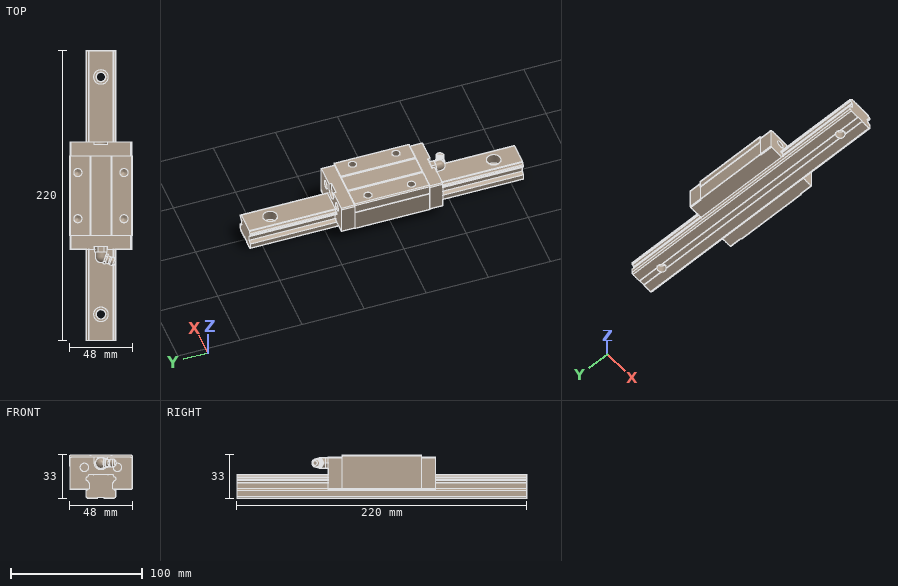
import cadquery as cq
import math

rail_length = 220.0
rail_half_width = 11.5
rail_height = 18.0
rail_top_half_width = 9.0
lip_top_z = 15.5
lip_height = 1.0
lip_bevel = 0.7
race_height = 1.5
race_sag = 0.33
race_root_half_width = 9.5
neck_half_width = 8.8
neck_bottom_z = 7.5
base_top_z = 6.0
rail_base_chamfer = 1.3
keyway_width = 4.8
keyway_depth = 0.7
rail_hole_spacing = 180.0
rail_hole_diameter = 7.0
rail_counterbore_diameter = 11.0
rail_counterbore_depth = 8.8

carriage_top_z = 33.0
carriage_bottom_z = 6.8
carriage_bottom_chamfer = 0.7
block_width = 48.0
block_length = 60.3
block_chamfer = 0.9
side_relief_depth = 0.5
side_relief_top_z = 24.5
groove_offset = 8.0
groove_width = 0.9
groove_depth = 0.5
mount_hole_spacing = 35.0
mount_hole_diameter = 6.2
mount_hole_depth = 10.0
drill_point_angle = 118.0
cap_width = 46.9
cap_length = 10.5
cap_top_z = 31.5
cap_chamfer = 0.9
cap_hole_offset = 12.5
cap_hole_z = 23.5
cap_hole_diameter = 6.4
cap_hole_depth = 4.5
recess_radius = 5.0
recess_depth = 2.0

nipple_z = 26.8
hexagon_sides = 6
elbow_hex_flats = 8.1
elbow_hex_length = 4.0
elbow_diameter = 8.1
elbow_length = 4.0
outlet_tilt = 20.0
outlet_hex_flats = 6.8
outlet_hex_start = 3.0
outlet_hex_end = 4.6
outlet_neck_radius = 2.9
outlet_neck_end = 6.8
groove_radius = 2.6
head_start = 8.0
head_radius = 3.0
head_taper_start = 10.3
head_tip_radius = 1.8
outlet_length = 11.7

lip_half_height = lip_height / 2
lip_center_z = lip_top_z - lip_half_height
carriage_length = block_length + 2 * cap_length
recess_floor_y = recess_depth - carriage_length / 2
elbow_cylinder_y = recess_floor_y - elbow_hex_length
elbow_center_y = elbow_cylinder_y - elbow_length


def rail_profile():
    """Closed cross-section in the XZ plane, with a concave ball race above and below the lip."""
    race_outer_x = rail_half_width - lip_bevel
    race_outer_offset = lip_half_height + lip_bevel
    race_root_offset = race_outer_offset + race_height
    neck_top_z = 2 * lip_center_z - rail_height
    race_run = race_outer_x - race_root_half_width
    chord = math.hypot(race_run, race_height)
    race_middle_x = (race_outer_x + race_root_half_width) / 2 - race_sag * race_height / chord
    race_middle_offset = (race_outer_offset + race_root_offset) / 2 - race_sag * race_run / chord
    return (
        cq.Workplane("XZ")
        .lineTo(rail_half_width - rail_base_chamfer, 0)
        .lineTo(rail_half_width, rail_base_chamfer)
        .lineTo(rail_half_width, base_top_z)
        .lineTo(neck_half_width, neck_bottom_z)
        .lineTo(neck_half_width, neck_top_z)
        .lineTo(race_root_half_width, lip_center_z - race_root_offset)
        .threePointArc(
            (race_middle_x, lip_center_z - race_middle_offset),
            (race_outer_x, lip_center_z - race_outer_offset),
        )
        .lineTo(rail_half_width, lip_top_z - lip_height)
        .lineTo(rail_half_width, lip_top_z)
        .lineTo(race_outer_x, lip_center_z + race_outer_offset)
        .threePointArc(
            (race_middle_x, lip_center_z + race_middle_offset),
            (race_root_half_width, lip_center_z + race_root_offset),
        )
        .lineTo(rail_top_half_width, rail_height)
        .lineTo(0, rail_height)
        .mirrorY()
    )


def rail_bar():
    return rail_profile().extrude(rail_length / 2, both=True)


def make_rail():
    keyway = cq.Workplane("XY").box(keyway_width, rail_length, 2 * keyway_depth)
    return (
        rail_bar()
        .cut(keyway)
        .faces(">Z")
        .workplane(origin=(0, 0, rail_height))
        .rarray(2.2, rail_hole_spacing, 1, 2)
        .cboreHole(rail_hole_diameter, rail_counterbore_diameter, rail_counterbore_depth)
    )


def box_between(width, length, bottom_z, top_z):
    """Box centred on X and Y that spans the two heights."""
    height = top_z - bottom_z
    return cq.Workplane("XY", origin=(0, 0, bottom_z)).box(
        width, length, height, centered=(True, True, False)
    )


def drilled_hole():
    """Blind hole tool with a conical drill point, entering from the carriage top."""
    radius = mount_hole_diameter / 2
    point_depth = radius / math.tan(math.radians(drill_point_angle / 2))
    return (
        cq.Workplane("XZ")
        .polyline([
            (0, 0),
            (radius, 0),
            (radius, -mount_hole_depth),
            (0, -mount_hole_depth - point_depth),
        ])
        .close()
        .revolve(360, (0, 0), (0, 1))
        .translate((0, 0, carriage_top_z))
    )


def make_block():
    """Block with top grooves and blind mounting holes; the +X side stays full height as a reference edge."""
    block = box_between(block_width, block_length, carriage_bottom_z, carriage_top_z)
    block = block.faces(">Z").edges("|Y").chamfer(block_chamfer)
    block = block.faces("<Z").edges("|Y").chamfer(carriage_bottom_chamfer)
    relief = box_between(2 * side_relief_depth, block_length, carriage_bottom_z, side_relief_top_z)
    block = block.cut(relief.translate((-block_width / 2, 0, 0)))
    for side in (-1, 1):
        groove = box_between(groove_width, block_length, carriage_top_z - groove_depth, carriage_top_z)
        block = block.cut(groove.translate((side * groove_offset, 0, 0)))
        for end in (-1, 1):
            place = (side * mount_hole_spacing / 2, end * mount_hole_spacing / 2, 0)
            block = block.cut(drilled_hole().translate(place))
    return block


def make_front_cap():
    """End cap on the -Y end with two plain holes and a round-bottomed nipple recess."""
    center_y = -(block_length + cap_length) / 2
    end_y = -carriage_length / 2
    cap = box_between(cap_width, cap_length, carriage_bottom_z, cap_top_z).translate((0, center_y, 0))
    cap = cap.faces(">Z").edges("|Y").chamfer(cap_chamfer)
    cap = cap.faces("<Z").edges("|Y").chamfer(carriage_bottom_chamfer)
    end_plane = cq.Workplane("XZ", origin=(0, end_y, 0))
    holes = (
        end_plane.pushPoints([(-cap_hole_offset, cap_hole_z), (cap_hole_offset, cap_hole_z)])
        .circle(cap_hole_diameter / 2)
        .extrude(-cap_hole_depth)
    )
    recess = (
        end_plane.moveTo(-recess_radius, cap_top_z)
        .lineTo(-recess_radius, nipple_z)
        .threePointArc((0, nipple_z - recess_radius), (recess_radius, nipple_z))
        .lineTo(recess_radius, cap_top_z)
        .close()
        .extrude(-recess_depth)
    )
    return cap.cut(holes).cut(recess)


def make_carriage():
    """Block and both caps in one solid, with a channel that fits the rail."""
    front_cap = make_front_cap()
    rear_cap = front_cap.mirror("XZ")
    return make_block().union(front_cap).union(rear_cap).cut(rail_bar())


def hexagon(plane, flats):
    """Hexagon of the given width across flats."""
    half_corner_angle = math.radians(180 / hexagon_sides)
    return plane.polygon(hexagon_sides, flats / math.cos(half_corner_angle))


def make_outlet():
    """Tilted outlet: hexagon, neck, groove and tapered head turned about its axis."""
    tilt = math.radians(outlet_tilt)
    axis = cq.Vector(math.cos(tilt), -math.sin(tilt), 0)
    center = cq.Vector(0, elbow_center_y, nipple_z)
    across = cq.Vector(math.sin(tilt), math.cos(tilt), 0)
    hex_plane = cq.Workplane(cq.Plane(center + axis * outlet_hex_start, across, axis))
    outlet_hex = hexagon(hex_plane, outlet_hex_flats).extrude(outlet_hex_end - outlet_hex_start)
    turned = (
        cq.Workplane(cq.Plane(center, axis, cq.Vector(0, 0, 1)))
        .polyline([
            (0, 0),
            (0, groove_radius),
            (outlet_hex_start, groove_radius),
            (outlet_hex_end, outlet_neck_radius),
            (outlet_neck_end, outlet_neck_radius),
            (outlet_neck_end, groove_radius),
            (head_start, groove_radius),
            (head_start, head_radius),
            (head_taper_start, head_radius),
            (outlet_length, head_tip_radius),
            (outlet_length, 0),
        ])
        .close()
        .revolve(360, (0, 0), (1, 0))
    )
    return outlet_hex.union(turned)


def make_nipple():
    hex_plane = cq.Workplane("XZ", origin=(0, recess_floor_y, nipple_z))
    elbow_hex = hexagon(hex_plane, elbow_hex_flats).extrude(elbow_hex_length)
    cylinder_plane = cq.Workplane("XZ", origin=(0, elbow_cylinder_y, nipple_z))
    elbow_cylinder = cylinder_plane.circle(elbow_diameter / 2).extrude(elbow_length)
    elbow_ball = cq.Workplane("XY").sphere(elbow_diameter / 2).translate((0, elbow_center_y, nipple_z))
    return elbow_hex.union(elbow_cylinder).union(elbow_ball).union(make_outlet())


rail = make_rail()
carriage = make_carriage()
nipple = make_nipple()

result = cq.Compound.makeCompound([rail.val(), carriage.val(), nipple.val()])